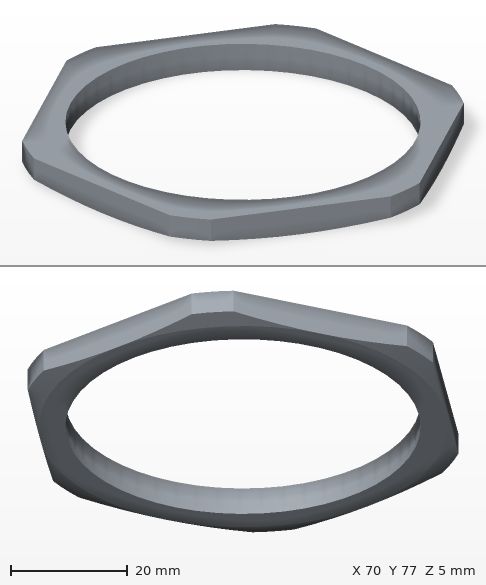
import cadquery as cq
import math

side_count = 6
across_flats = 70.0
corner_diameter = 77.0
bore_diameter = 60.8
thickness = 5.0
chamfer_angle = 15.0

half_side_angle = 180.0 / side_count
flat_radius = across_flats / 2
corner_radius = corner_diameter / 2
chamfer_height = (corner_radius - flat_radius) * math.tan(math.radians(chamfer_angle))


def hexagonal_prism():
    """Hexagon with two of its flats facing +X and -X."""
    sharp_corner_diameter = across_flats / math.cos(math.radians(half_side_angle))
    return (
        cq.Workplane("XY")
        .polygon(side_count, sharp_corner_diameter)
        .extrude(thickness)
        .rotate((0, 0, 0), (0, 0, 1), half_side_angle)
    )


def turned_envelope():
    """Round blank that trims the corners and bevels their bottom edges.

    The bevel cone meets the bottom face on the circle touching the flats.
    """
    return (
        cq.Workplane("XZ")
        .moveTo(0, 0)
        .lineTo(flat_radius, 0)
        .lineTo(corner_radius, chamfer_height)
        .lineTo(corner_radius, thickness)
        .lineTo(0, thickness)
        .close()
        .revolve(360, (0, 0, 0), (0, 1, 0))
    )


def bore():
    """Through hole of the ring."""
    return cq.Workplane("XY").circle(bore_diameter / 2).extrude(thickness)


result = hexagonal_prism().intersect(turned_envelope()).cut(bore())